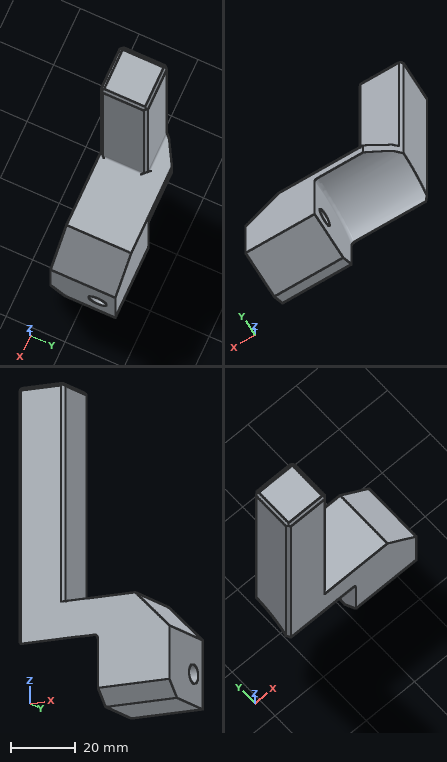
import cadquery as cq
import math

length = 53.0
depth = 22.0
height = 104.0

shank_side = 16.0
shank_chamfer = 1.0
shank_root_radius = 0.6

arm_top = 34.0
head_left = 28.0
shoulder_chamfer = 12.0
toe_chamfer = 5.0

bevel_start = 10.4
bevel_slope = math.tan(math.radians(30))

hole_diameter = 6.0
hole_y = depth - 6.0
hole_z = 10.0
relief_radius = 22.0
relief_z = 7.0
relief_fillet = 1.2

tolerance = 0.001


def make_shank():
    """Square bar with a chamfered top and chamfered long edges."""
    bar = cq.Workplane("XY").box(shank_side, shank_side, height, centered=False)
    bar = bar.faces(">Z").chamfer(shank_chamfer)
    return bar.edges("|Z").chamfer(shank_chamfer)


def make_arm():
    """Arm and head block with its left bevels, shoulder chamfer and toe chamfer."""
    corner_y = shank_side - shank_chamfer
    bevel_at_left = depth - bevel_start * bevel_slope
    corner_width = (bevel_at_left - corner_y) / (1 - bevel_slope)
    outline = [
        (shank_chamfer, 0),
        (length, 0),
        (length, depth),
        (bevel_start, depth),
        (corner_width, corner_y + corner_width),
        (0, corner_y),
        (0, shank_chamfer),
    ]
    block = cq.Workplane("XY").polyline(outline).close().extrude(arm_top)
    block = block.edges(">X and >Z").chamfer(shoulder_chamfer)
    return block.edges("<Y and <Z").chamfer(toe_chamfer)


def make_relief():
    """Cylinder clearing the arm's underside, rounded where it meets the head."""
    disc = (
        cq.Workplane("YZ")
        .center(hole_y, relief_z)
        .circle(relief_radius)
        .extrude(head_left)
    )
    return disc.faces(">X").edges().fillet(relief_fillet)


def make_space_below():
    """Empty space left of the head and below the relief axis."""
    return cq.Workplane("XY").box(head_left, depth, relief_z, centered=False)


def is_shank_root(edge):
    """True where a flat right or rear side of the shank rises from the arm top."""
    middle = edge.Center()
    on_arm_top = abs(middle.z - arm_top) < tolerance
    on_right_side = abs(middle.x - shank_side) < tolerance
    on_rear_side = abs(middle.y - shank_side) < tolerance
    return on_arm_top and (on_right_side or on_rear_side)


def round_shank_root(body):
    """Fillet the flat shank sides into the arm top, leaving the chamfered corners sharp."""
    root_edges = [edge for edge in body.edges().vals() if is_shank_root(edge)]
    return body.newObject(root_edges).fillet(shank_root_radius)


body = make_arm().union(make_shank())
body = round_shank_root(body)
body = body.cut(make_relief()).cut(make_space_below())

hole = (
    cq.Workplane("YZ")
    .center(hole_y, hole_z)
    .circle(hole_diameter / 2)
    .extrude(length)
)
result = body.cut(hole)